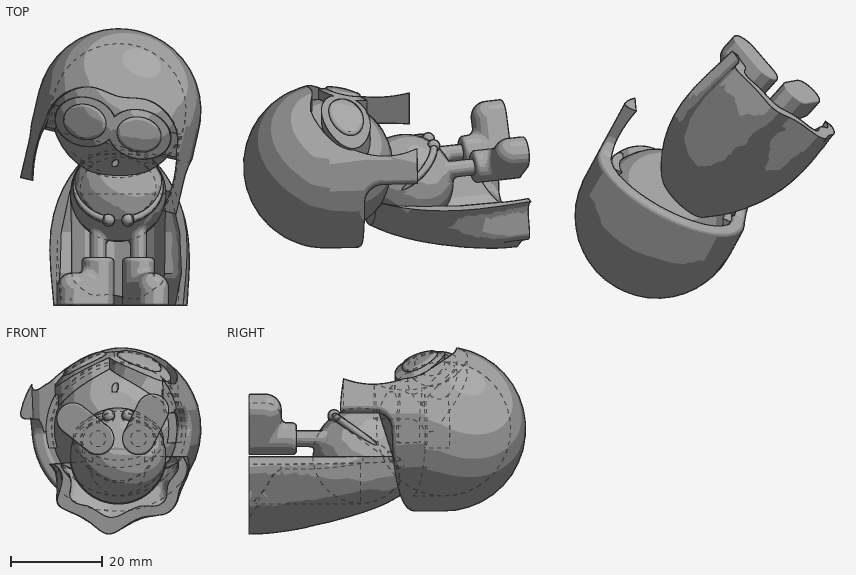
import cadquery as cq
import math


SELECT_MARGIN = 0.1

TORSO_RADIUS = 10.45
TORSO_Y = 24.4
LEG_DIAMETER = 3.5
LEG_SPACING = 8.9
LEG_Z = 3.7
LEG_FILLET = 1.5
BOOT_DIAMETER = 7.0
BOOT_RADIUS = BOOT_DIAMETER / 2
BOOT_HEIGHT = 10.4
BOOT_TOP_FILLET = 0.9
FOOT_LENGTH = 7.0
FOOT_SIDE_HEIGHT = 3.6
INSTEP_FILLET = 1.6
SOLE_FILLET = 0.4
LEFT_TOE_ANGLE = -51.5
RIGHT_TOE_ANGLE = 26.4

CORD_RADIUS = 0.8
CORD_RING_RADIUS = 9.1
CORD_PLANE_OFFSET = 3.7
CORD_FORWARD_SHIFT = 0.9
CORD_TILT = 35.7
CORD_GAP_ANGLE = 27.0
BEAD_DIAMETER = 2.75

HEAD_RADIUS = 14.7
HEAD_CENTRE = (0.15, 42.59, 5.85)
HEAD_ROLL = -13.1
HEAD_YAW = -2.4
MOUTH_CENTRE = (2.2, -11.4)
MOUTH_WIDTH = 1.3
MOUTH_HEIGHT = 1.8
MOUTH_DEPTH = 1.0
MOUTH_TILT = -25.0

HELMET_RADIUS = 18.0
HELMET_RIM_Y = -7.6
FLAP_END_Y = -19.15
FLAP_LOWER_Z = 2.85
NOTCH_CORNER_RADIUS = 4.0
RIM_OUTER_FILLET = 1.2
RIM_INNER_FILLET = 0.8
OPENING_END_X = 14.7
OPENING_BULGE = (15.5, -12.0)
OPENING_SHOULDER = (14.7, -5.5)
BROW_X = 6.0
BROW_Y = 3.7
BROW_DIP_Y = 3.0
TEMPLE_X = 10.0
TEMPLE_Y = 2.4

GOGGLE_RADIUS = 16.95
LENS_X = 6.05
LENS_Y = -4.05
FRAME_HALF_WIDTH = 6.85
FRAME_HALF_HEIGHT = 5.35
LENS_HALF_WIDTH = 4.85
LENS_HALF_HEIGHT = 3.85
LENS_RAISE = 0.45
LENS_FILLET = 0.75
STRAP_LOWER_Y = -7.1
STRAP_UPPER_Y = -2.0
STRAP_BACK_Z = -3.6
STRAP_FRONT_Z = 8.0
STRAP_INNER_X = 8.0

CAPE_BORE_RADIUS = 10.6
HEM_OUTER = [
    (-14.1, -1.9), (-12.4, -6.3), (-13.1, -10.6), (-9.8, -12.6), (-5.9, -14.8), (-2.3, -17.15),
    (2.3, -14.9), (6.2, -13.3), (10.8, -12.5), (12.7, -10.2), (13.4, -7.5), (14.9, -4.0), (14.2, -0.2),
]
HEM_INNER = [
    (-12.5, -1.0), (-11.8, -3.4), (-10.35, -5.4), (-10.5, -9.1), (-9.4, -10.3), (-6.8, -11.0),
    (-1.8, -13.5), (2.3, -12.1), (5.3, -11.0), (8.3, -11.0), (10.4, -9.5), (10.9, -6.4),
    (12.8, -3.6), (11.9, 0.4),
]
CAPE_SECTIONS = [
    (8.5, 15.5, 16.5, 0.75), (16.0, 15.2, 15.0, 0.4), (24.4, 12.7, 12.6, 0.0), (33.0, 6.6, 8.8, 0.0),
]
POCKET_SECTIONS = [(7.0, 13.9, 4.3), (16.0, 13.5, 4.3), (25.0, 11.4, 4.0)]
CAPE_TOP_Z = -0.1


def sphere(radius, centre=(0, 0, 0)):
    return cq.Workplane("XY").sphere(radius).translate(centre)


def cylinder_along_y(radius, start_y, end_y, x=0.0, z=0.0):
    solid = cq.Solid.makeCylinder(radius, end_y - start_y, cq.Vector(x, start_y, z), cq.Vector(0, 1, 0))
    return cq.Workplane("XY").newObject([solid])


def box_between(low, high):
    size = [b - a for a, b in zip(low, high)]
    return cq.Workplane("XY").box(*size, centered=False).translate(low)


def place_head_part(part):
    turned = part.rotate((0, 0, 0), (0, 1, 0), HEAD_YAW)
    rolled = turned.rotate((0, 0, 0), (0, 0, 1), HEAD_ROLL)
    return rolled.translate(HEAD_CENTRE)


def make_head():
    mouth_z = math.sqrt(HEAD_RADIUS**2 - MOUTH_CENTRE[0]**2 - MOUTH_CENTRE[1]**2) - MOUTH_DEPTH
    mouth = (
        cq.Workplane("XY")
        .ellipse(MOUTH_WIDTH / 2, MOUTH_HEIGHT / 2)
        .extrude(HEAD_RADIUS)
        .rotate((0, 0, 0), (0, 0, 1), MOUTH_TILT)
        .translate((*MOUTH_CENTRE, mouth_z))
    )
    return sphere(HEAD_RADIUS).cut(mouth)


def dome_with_skirt(radius):
    return sphere(radius).union(cylinder_along_y(radius, FLAP_END_Y, 0))


def rim_region(half_width):
    """Selects the edges round the helmet's rim and along the lower sides of the flaps."""
    return cq.selectors.BoxSelector(
        (-half_width, FLAP_END_Y - SELECT_MARGIN, -HELMET_RADIUS - SELECT_MARGIN),
        (half_width, HELMET_RIM_Y + SELECT_MARGIN, FLAP_LOWER_Z + SELECT_MARGIN),
        boundingbox=True,
    )


def make_helmet():
    reach = 2 * HELMET_RADIUS
    shell = dome_with_skirt(HELMET_RADIUS)
    notch = box_between((-reach, -reach, -reach), (reach, HELMET_RIM_Y, FLAP_LOWER_Z))
    notch = notch.edges("|X and >Y and >Z").fillet(NOTCH_CORNER_RADIUS)
    shell = shell.cut(notch)
    shell = shell.edges(rim_region(reach)).edges("not |X").fillet(RIM_OUTER_FILLET)
    shell = shell.cut(dome_with_skirt(HEAD_RADIUS))
    shell = shell.edges(rim_region(HEAD_RADIUS + SELECT_MARGIN)).edges("not |X").fillet(RIM_INNER_FILLET)
    shoulder_x, shoulder_y = OPENING_SHOULDER
    bulge_x, bulge_y = OPENING_BULGE
    opening = (
        cq.Workplane("XY")
        .moveTo(-OPENING_END_X, FLAP_END_Y)
        .threePointArc((-bulge_x, bulge_y), (-shoulder_x, shoulder_y))
        .spline(
            [(-TEMPLE_X, TEMPLE_Y), (-BROW_X, BROW_Y), (0, BROW_DIP_Y), (BROW_X, BROW_Y),
             (TEMPLE_X, TEMPLE_Y), (shoulder_x, shoulder_y)],
            includeCurrent=True,
        )
        .threePointArc((bulge_x, bulge_y), (OPENING_END_X, FLAP_END_Y))
        .close()
        .extrude(reach)
    )
    return shell.cut(opening)


def make_goggles():
    """Two oval frames with raised lenses, and the strap ends at the sides of the head."""
    lens_points = [(-LENS_X, LENS_Y), (LENS_X, LENS_Y)]
    frame = cq.Workplane("XY")
    for point in lens_points:
        lobe = cq.Workplane("XY").center(*point).ellipse(FRAME_HALF_WIDTH, FRAME_HALF_HEIGHT)
        frame = frame.union(lobe.extrude(GOGGLE_RADIUS))
    frame = frame.intersect(sphere(GOGGLE_RADIUS))
    for point in lens_points:
        lens = cq.Workplane("XY").center(*point).ellipse(LENS_HALF_WIDTH, LENS_HALF_HEIGHT)
        lens = lens.extrude(HELMET_RADIUS).intersect(sphere(GOGGLE_RADIUS + LENS_RAISE))
        frame = frame.union(lens.faces(">Z").edges().fillet(LENS_FILLET))
    strap = cylinder_along_y(HEAD_RADIUS, STRAP_LOWER_Y, STRAP_UPPER_Y)
    for side in (-1, 1):
        outer_x = side * HEAD_RADIUS
        inner_x = side * STRAP_INNER_X
        band = box_between(
            (min(inner_x, outer_x), STRAP_LOWER_Y, STRAP_BACK_Z),
            (max(inner_x, outer_x), STRAP_UPPER_Y, STRAP_FRONT_Z),
        )
        frame = frame.union(strap.intersect(band))
    return frame.cut(sphere(HEAD_RADIUS))


def make_torso():
    torso = sphere(TORSO_RADIUS, (0, TORSO_Y, 0))
    for side in (-1, 1):
        leg = cylinder_along_y(LEG_DIAMETER / 2, BOOT_HEIGHT, TORSO_Y, side * LEG_SPACING / 2, LEG_Z)
        torso = torso.union(leg)
    hips = cq.selectors.BoxSelector(
        (-TORSO_RADIUS, BOOT_HEIGHT + SELECT_MARGIN, 0),
        (TORSO_RADIUS, TORSO_Y, TORSO_RADIUS),
        boundingbox=True,
    )
    return torso.edges(hips).fillet(LEG_FILLET)


def make_boot(x, toe_angle):
    """Round shaft with a stadium foot whose toe is a ball on a short upright side."""
    shaft = cylinder_along_y(BOOT_RADIUS, 0, BOOT_HEIGHT)
    toe_side = cylinder_along_y(BOOT_RADIUS, 0, FOOT_SIDE_HEIGHT, 0, FOOT_LENGTH)
    foot = toe_side.union(box_between((-BOOT_RADIUS, 0, 0), (BOOT_RADIUS, FOOT_SIDE_HEIGHT, FOOT_LENGTH)))
    instep = cq.Workplane("XY").center(0, FOOT_SIDE_HEIGHT).circle(BOOT_RADIUS).extrude(FOOT_LENGTH)
    upper = instep.union(sphere(BOOT_RADIUS, (0, FOOT_SIDE_HEIGHT, FOOT_LENGTH)))
    upper_limits = box_between(
        (-BOOT_RADIUS, FOOT_SIDE_HEIGHT, 0),
        (BOOT_RADIUS, FOOT_SIDE_HEIGHT + BOOT_RADIUS, FOOT_LENGTH + BOOT_RADIUS),
    )
    upper = upper.intersect(upper_limits)
    boot = shaft.union(foot).union(upper)
    instep_seam = cq.selectors.BoxSelector(
        (-BOOT_RADIUS, FOOT_SIDE_HEIGHT - SELECT_MARGIN, -SELECT_MARGIN),
        (BOOT_RADIUS, BOOT_HEIGHT - SELECT_MARGIN, BOOT_RADIUS + SELECT_MARGIN),
        boundingbox=True,
    )
    boot = boot.edges(instep_seam).fillet(INSTEP_FILLET)
    boot = boot.faces(">Y").edges().fillet(BOOT_TOP_FILLET)
    boot = boot.faces("<Y").edges().fillet(SOLE_FILLET)
    return boot.rotate((0, 0, 0), (0, 1, 0), toe_angle).translate((x, 0, LEG_Z))


def make_cord():
    """Ring that sinks into the body behind, open between two beads in front."""
    tilt = math.radians(CORD_TILT)
    forward = cq.Vector(0, -math.cos(tilt), math.sin(tilt))
    normal = cq.Vector(0, math.sin(tilt), math.cos(tilt))
    centre = cq.Vector(0, TORSO_Y, 0) + normal * CORD_PLANE_OFFSET + forward * CORD_FORWARD_SHIFT
    ring_plane = cq.Plane(origin=centre, xDir=forward, normal=normal)
    half_gap = math.radians(CORD_GAP_ANGLE / 2)
    end_x = CORD_RING_RADIUS * math.cos(half_gap)
    end_y = CORD_RING_RADIUS * math.sin(half_gap)
    path = cq.Workplane(ring_plane).moveTo(end_x, end_y)
    path = path.threePointArc((-CORD_RING_RADIUS, 0), (end_x, -end_y))
    start = ring_plane.toWorldCoords((end_x, end_y))
    along = ring_plane.toWorldCoords((end_x - end_y, end_y + end_x)) - start
    profile_plane = cq.Plane(origin=start, xDir=normal, normal=along)
    cord = cq.Workplane(profile_plane).circle(CORD_RADIUS).sweep(path)
    for side in (-1, 1):
        bead = ring_plane.toWorldCoords((end_x, side * end_y))
        cord = cord.union(sphere(BEAD_DIAMETER / 2, bead.toTuple()))
    return cord


def cape_wire(y, points):
    return (
        cq.Workplane("XZ", origin=(0, y, 0))
        .moveTo(*points[0])
        .spline(points[1:], includeCurrent=True)
        .close()
    )


def smooth_point(point, width, depth):
    """Point on a half ellipse at the same bearing as a fold of the hem."""
    angle = math.atan2(point[1] - CAPE_TOP_Z, point[0])
    return (width * math.cos(angle), CAPE_TOP_Z + (depth + CAPE_TOP_Z) * math.sin(angle))


def loft_sections(sections, ruled=False):
    wires = []
    for y, points in sections:
        wires.append(cape_wire(y, points).val())
    return cq.Workplane("XY").newObject([cq.Solid.makeLoft(wires, ruled)])


def make_cape():
    hem_width = max(x for x, z in HEM_OUTER)
    hem_depth = max(-z for x, z in HEM_OUTER)
    sections = [(0, HEM_OUTER)]
    for y, width, depth, folds in CAPE_SECTIONS:
        points = []
        for fold in HEM_OUTER:
            smooth = smooth_point(fold, width, depth)
            scaled = (fold[0] * width / hem_width, fold[1] * depth / hem_depth)
            points.append(tuple(folds * a + (1 - folds) * b for a, b in zip(scaled, smooth)))
        sections.append((y, points))
    cape = loft_sections(sections)
    pocket_sections = [(0, HEM_INNER)]
    for y, width, depth in POCKET_SECTIONS:
        pocket_sections.append((y, [smooth_point(p, width, depth) for p in HEM_INNER]))
    pockets = loft_sections(pocket_sections, ruled=True)
    bore = cylinder_along_y(CAPE_BORE_RADIUS, 0, TORSO_Y)
    return cape.cut(pockets).cut(bore)


helmet = place_head_part(make_helmet())
goggles = place_head_part(make_goggles())
cord = make_cord()
torso_ball = sphere(TORSO_RADIUS, (0, TORSO_Y, 0))
head_ball = place_head_part(sphere(HEAD_RADIUS))

head = place_head_part(make_head()).cut(cord)
torso = make_torso().cut(head_ball).cut(cord)
cape = make_cape().cut(torso_ball).cut(head_ball).cut(helmet).cut(cord)

left_boot = make_boot(-LEG_SPACING / 2, LEFT_TOE_ANGLE)
right_boot = make_boot(LEG_SPACING / 2, RIGHT_TOE_ANGLE)

result = cq.Compound.makeCompound([
    head.solids().val(),
    helmet.solids().val(),
    goggles.solids().val(),
    torso.solids().val(),
    cord.solids().val(),
    cape.solids().val(),
    left_boot.solids().val(),
    right_boot.solids().val(),
])